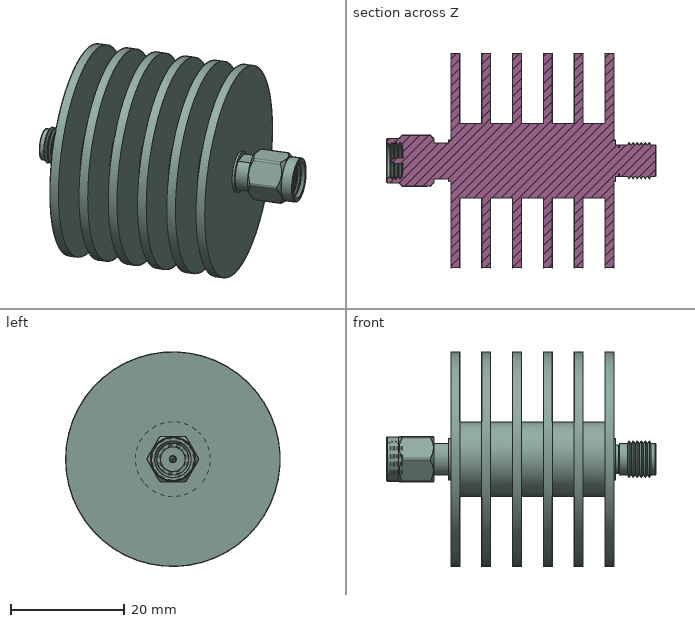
import cadquery as cq
import math


TOTAL_LENGTH = 47.6

FIN_COUNT = 6
FIN_RADIUS = 19.0
FIN_THICKNESS = 1.6
FIRST_FIN_X = 11.35
BARREL_RADIUS = 6.6
HEAT_SINK_LENGTH = 28.9
HEAT_SINK_END_X = FIRST_FIN_X + HEAT_SINK_LENGTH
FIN_PITCH = (HEAT_SINK_LENGTH - FIN_THICKNESS) / (FIN_COUNT - 1)

FLANGE_RADIUS = 3.65
PLUG_FLANGE_THICKNESS = 0.45
SOCKET_FLANGE_THICKNESS = 0.3

SLEEVE_RADIUS = 3.95
SLEEVE_LENGTH = 2.1
SLEEVE_EDGE_CHAMFER = 0.15
NUT_END_X = 8.4
NUT_ACROSS_FLATS = 8.0
NUT_CORNER_ROUND = 0.48
NUT_CHAMFER = 0.65

SHANK_RADIUS = 3.25
SHANK_HALF_FLATS = 2.8

BORE_RADIUS = 2.8
BORE_DEPTH = 2.75
BORE_MOUTH_RADIUS = 3.25
BORE_MOUTH_DEPTH = 0.55
BORE_GROOVE_COUNT = 3
INSULATOR_RADIUS = 2.2
INSULATOR_RECESS = 0.05
PIN_RADIUS = 0.5
PIN_TIP_RADIUS = 0.2
PIN_TIP_X = 0.8
PIN_TIP_LENGTH = 0.55
PIN_CLEARANCE_RADIUS = 0.6
PIN_CLEARANCE_DEPTH = 0.1
PIN_ROOT_OVERLAP = 0.05

NECK_RADIUS = 2.8
NECK_HALF_FLATS = 2.5
NECK_END_X = 41.05
RELIEF_RADIUS = 2.4
RELIEF_WIDTH = 0.15
SOCKET_RADIUS = 2.8
SOCKET_EDGE_CHAMFER = 0.1
SOCKET_RING_COUNT = 6
FIRST_CREST_X = 42.9

THREAD_PITCH = 0.7
THREAD_DEPTH = 0.45
THREAD_HALF_WIDTH = 0.3


def cylinder(start_x, end_x, radius):
    """Solid cylinder along the X axis."""
    return cq.Workplane("YZ").workplane(offset=start_x).circle(radius).extrude(end_x - start_x)


def revolved(points):
    """Solid of revolution about the X axis from (x, radius) points."""
    return cq.Workplane("XY").polyline(points).close().revolve(360, (0, 0, 0), (1, 0, 0))


def flatted_cylinder(start_x, end_x, radius, half_flats):
    """Cylinder with two wrench flats facing +Z and -Z."""
    length = end_x - start_x
    slab = cq.Workplane("YZ").workplane(offset=start_x).rect(2 * radius, 2 * half_flats).extrude(length)
    return cylinder(start_x, end_x, radius).intersect(slab)


def thread_ring(crest_x, root_radius):
    """Ring of triangular section whose crest points away from the axis."""
    inner_radius = root_radius / 2
    return revolved([
        (crest_x - THREAD_HALF_WIDTH, inner_radius),
        (crest_x - THREAD_HALF_WIDTH, root_radius),
        (crest_x, root_radius + THREAD_DEPTH),
        (crest_x + THREAD_HALF_WIDTH, root_radius),
        (crest_x + THREAD_HALF_WIDTH, inner_radius),
    ])


def heat_sink():
    """Barrel carrying evenly spaced round fins."""
    body = cylinder(FIRST_FIN_X, HEAT_SINK_END_X, BARREL_RADIUS)
    for index in range(FIN_COUNT):
        fin_x = FIRST_FIN_X + index * FIN_PITCH
        body = body.union(cylinder(fin_x, fin_x + FIN_THICKNESS, FIN_RADIUS))
    return body


def hex_nut():
    """Hexagon with flats facing +Z and -Z, rounded corners and turned ends."""
    corner_diameter = NUT_ACROSS_FLATS / math.cos(math.radians(30))
    hexagon = (
        cq.Workplane("YZ").workplane(offset=SLEEVE_LENGTH)
        .polygon(6, corner_diameter).extrude(NUT_END_X - SLEEVE_LENGTH)
        .edges("|X").fillet(NUT_CORNER_ROUND)
    )
    corner_setback = NUT_CORNER_ROUND * (1 / math.cos(math.radians(30)) - 1)
    outer_radius = corner_diameter / 2 - corner_setback
    turned_blank = cylinder(SLEEVE_LENGTH, NUT_END_X, outer_radius).edges().chamfer(NUT_CHAMFER)
    return hexagon.intersect(turned_blank)


def plug_bore():
    """Open cavity of the plug: flared mouth, thread grooves, recessed insulator and pin clearance."""
    mouth = revolved([
        (0, 0),
        (0, BORE_MOUTH_RADIUS),
        (BORE_MOUTH_DEPTH, BORE_RADIUS),
        (BORE_MOUTH_DEPTH, 0),
    ])
    bore = mouth.union(cylinder(0, BORE_DEPTH, BORE_RADIUS))
    for index in range(BORE_GROOVE_COUNT):
        crest_x = BORE_MOUTH_DEPTH + (index + 0.5) * THREAD_PITCH
        bore = bore.union(thread_ring(crest_x, BORE_RADIUS))
    insulator_x = BORE_DEPTH + INSULATOR_RECESS
    bore = bore.union(cylinder(0, insulator_x, INSULATOR_RADIUS))
    return bore.union(cylinder(0, insulator_x + PIN_CLEARANCE_DEPTH, PIN_CLEARANCE_RADIUS))


def plug_pin():
    """Contact pin with a tapered tip, rooted slightly below the floor of its clearance recess."""
    taper_end_x = PIN_TIP_X + PIN_TIP_LENGTH
    base_x = BORE_DEPTH + INSULATOR_RECESS + PIN_CLEARANCE_DEPTH + PIN_ROOT_OVERLAP
    return revolved([
        (PIN_TIP_X, 0),
        (PIN_TIP_X, PIN_TIP_RADIUS),
        (taper_end_x, PIN_RADIUS),
        (base_x, PIN_RADIUS),
        (base_x, 0),
    ])


def plug():
    """Plug connector: sleeve, nut, shank and flange, with its bore and pin."""
    flange_x = FIRST_FIN_X - PLUG_FLANGE_THICKNESS
    sleeve = cylinder(0, SLEEVE_LENGTH, SLEEVE_RADIUS).faces("<X").chamfer(SLEEVE_EDGE_CHAMFER)
    body = sleeve.union(hex_nut())
    body = body.union(flatted_cylinder(NUT_END_X, flange_x, SHANK_RADIUS, SHANK_HALF_FLATS))
    body = body.union(cylinder(flange_x, FIRST_FIN_X, FLANGE_RADIUS))
    return body.cut(plug_bore()).union(plug_pin())


def socket():
    """Socket connector: flange, flatted neck, relief groove and threaded body."""
    flange_end_x = HEAT_SINK_END_X + SOCKET_FLANGE_THICKNESS
    body_x = NECK_END_X + RELIEF_WIDTH
    threaded_body = cylinder(body_x, TOTAL_LENGTH, SOCKET_RADIUS).faces(">X").chamfer(SOCKET_EDGE_CHAMFER)
    for index in range(SOCKET_RING_COUNT):
        crest_x = FIRST_CREST_X + index * THREAD_PITCH
        threaded_body = threaded_body.union(thread_ring(crest_x, SOCKET_RADIUS))
    return (
        cylinder(HEAT_SINK_END_X, flange_end_x, FLANGE_RADIUS)
        .union(flatted_cylinder(flange_end_x, NECK_END_X, NECK_RADIUS, NECK_HALF_FLATS))
        .union(cylinder(NECK_END_X, body_x, RELIEF_RADIUS))
        .union(threaded_body)
    )


result = heat_sink().union(plug()).union(socket())